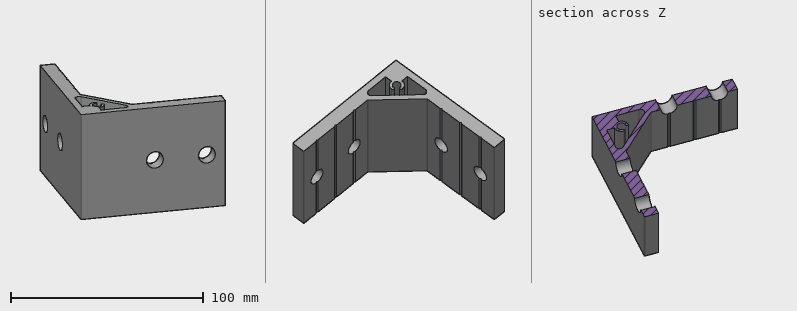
import cadquery as cq
import math

LEG_LENGTH = 78.0
HEIGHT = 58.0
LEG_THICKNESS = 8.0
EDGE_RADIUS = 0.3

WEB_OUTER_REACH = 37.9
WEB_THICKNESS = 3.0

HOLLOW_WALL = 4.0
HOLLOW_RADIUS = 2.0
CORNER_BLOCK = 12.0

CHANNEL_OUTER_RADIUS = 3.9
CHANNEL_INNER_RADIUS = 2.3

FIRST_GROOVE = 10.0
GROOVE_PITCH = 14.05
GROOVE_COUNT = 3
GROOVE_HALF_WIDTH = 0.8
GROOVE_DEPTH = 0.5

HOLE_DIAMETER = 9.0

GROOVE_PLACES = [LEG_LENGTH - FIRST_GROOVE - i * GROOVE_PITCH for i in range(GROOVE_COUNT)]
HOLE_PLACES = GROOVE_PLACES[::2]


def prism(points):
    """Full-height prism; points are distances from the outer corner along each leg."""
    outline = [(-along_x, along_y) for along_x, along_y in points]
    return cq.Workplane("XY").polyline(outline).close().extrude(HEIGHT)


def mirrored(points):
    """Swap the two legs."""
    return [(along_y, along_x) for along_x, along_y in points]


def make_body():
    """Both legs with the corner between them filled up to the web's outer face."""
    web_end = WEB_OUTER_REACH - LEG_THICKNESS
    body = prism([
        (0, 0),
        (LEG_LENGTH, 0),
        (LEG_LENGTH, LEG_THICKNESS),
        (web_end, LEG_THICKNESS),
        (LEG_THICKNESS, web_end),
        (LEG_THICKNESS, LEG_LENGTH),
        (0, LEG_LENGTH),
    ])
    return body.edges("|Z").fillet(EDGE_RADIUS)


def make_hollow():
    hollow_tip = WEB_OUTER_REACH - WEB_THICKNESS * math.sqrt(2) - HOLLOW_WALL
    triangle = prism([
        (HOLLOW_WALL, HOLLOW_WALL),
        (hollow_tip, HOLLOW_WALL),
        (HOLLOW_WALL, hollow_tip),
    ])
    rounded = triangle.edges("|Z").edges("<X or >Y").fillet(HOLLOW_RADIUS)
    block = prism([(0, 0), (CORNER_BLOCK, 0), (CORNER_BLOCK, CORNER_BLOCK), (0, CORNER_BLOCK)])
    return rounded.cut(block)


def channel_cylinder(radius, offset_x=0, offset_y=0):
    centre = (-CORNER_BLOCK - offset_x, CORNER_BLOCK + offset_y)
    return cq.Workplane("XY").center(*centre).circle(radius).extrude(HEIGHT)


def add_screw_channel(body):
    """Three-quarter ring with round lips, open towards the web."""
    lip_offset = (CHANNEL_OUTER_RADIUS + CHANNEL_INNER_RADIUS) / 2
    lip_radius = (CHANNEL_OUTER_RADIUS - CHANNEL_INNER_RADIUS) / 2
    opening_end = CORNER_BLOCK + CHANNEL_OUTER_RADIUS
    opening = prism([
        (CORNER_BLOCK, CORNER_BLOCK),
        (opening_end, CORNER_BLOCK),
        (opening_end, opening_end),
        (CORNER_BLOCK, opening_end),
    ])
    ring = channel_cylinder(CHANNEL_OUTER_RADIUS).cut(opening)
    lips = channel_cylinder(lip_radius, offset_x=lip_offset).union(
        channel_cylinder(lip_radius, offset_y=lip_offset)
    )
    return body.union(ring).cut(channel_cylinder(CHANNEL_INNER_RADIUS)).union(lips)


def cut_grooves(body):
    for place in GROOVE_PLACES:
        groove = [
            (place - GROOVE_HALF_WIDTH, LEG_THICKNESS),
            (place, LEG_THICKNESS - GROOVE_DEPTH),
            (place + GROOVE_HALF_WIDTH, LEG_THICKNESS),
        ]
        body = body.cut(prism(groove)).cut(prism(mirrored(groove)))
    return body


def cut_holes(body):
    middle = HEIGHT / 2
    radius = HOLE_DIAMETER / 2
    for place in HOLE_PLACES:
        through_x_leg = cq.Solid.makeCylinder(
            radius, LEG_THICKNESS, cq.Vector(-place, 0, middle), cq.Vector(0, 1, 0)
        )
        through_y_leg = cq.Solid.makeCylinder(
            radius, LEG_THICKNESS, cq.Vector(0, place, middle), cq.Vector(-1, 0, 0)
        )
        body = body.cut(cq.Workplane(through_x_leg)).cut(cq.Workplane(through_y_leg))
    return body


bracket = make_body().cut(make_hollow())
bracket = add_screw_channel(bracket)
bracket = cut_grooves(bracket)
result = cut_holes(bracket)